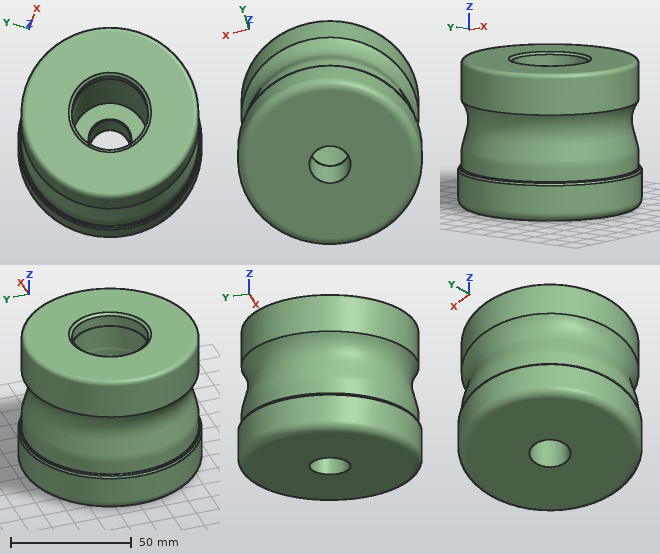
import cadquery as cq
import math

total_height = 62.0
base_height = 16.85

base_radius = 38.1
base_bottom_fillet = 3.8
rim_ledge_radius = 36.9
rim_break_radius = 37.5
rim_upper_height = 0.45
rim_lower_height = 0.9
hole_radius = 8.5
hole_chamfer = 0.45

sleeve_radius = 36.7
sleeve_top_fillet = 2.0
neck_top = 44.9
cone_top = 32.6
cone_top_radius = 34.45
cone_angle = 14.7
shoulder_blend_radius = 10.8
shoulder_blend_bottom = 22.6

bore_radius = 15.8
bore_chamfer_width = 1.3
bore_chamfer_depth = 1.0
relief_radius = 15.9
relief_top_depth = 6.0
relief_height = 10.5
relief_taper_height = 0.9


def revolve_profile(profile):
    """Revolve a closed radius/height profile about the Z axis."""
    return profile.close().revolve(360, (0, 0, 0), (0, 1, 0))


def make_base():
    rim_break_height = base_height - rim_upper_height
    base = revolve_profile(
        cq.Workplane("XZ")
        .moveTo(hole_radius, 0)
        .lineTo(base_radius, 0)
        .lineTo(base_radius, rim_break_height - rim_lower_height)
        .lineTo(rim_break_radius, rim_break_height)
        .lineTo(rim_ledge_radius, base_height)
        .lineTo(hole_radius + hole_chamfer, base_height)
        .lineTo(hole_radius, base_height - hole_chamfer)
    )
    outer_bottom_edge = cq.selectors.RadiusNthSelector(-1)
    return base.faces("<Z").edges(outer_bottom_edge).fillet(base_bottom_fillet)


def make_sleeve():
    tilt = math.radians(cone_angle)
    blend_height = shoulder_blend_radius * math.sin(tilt)
    blend_inset = shoulder_blend_radius * (1 - math.cos(tilt))
    blend_end = (sleeve_radius - blend_inset, shoulder_blend_bottom + blend_height)
    outer_fillet_start = (sleeve_radius, total_height - sleeve_top_fillet)
    outer_fillet_end = (sleeve_radius - sleeve_top_fillet, total_height)
    relief_top = total_height - relief_top_depth
    relief_bottom = relief_top - relief_height
    taper_bottom = relief_bottom - relief_taper_height
    return revolve_profile(
        cq.Workplane("XZ")
        .moveTo(bore_radius, base_height)
        .lineTo(sleeve_radius, base_height)
        .lineTo(sleeve_radius, shoulder_blend_bottom)
        .tangentArcPoint(blend_end, relative=False)
        .lineTo(cone_top_radius, cone_top)
        .tangentArcPoint((sleeve_radius, neck_top), relative=False)
        .lineTo(*outer_fillet_start)
        .tangentArcPoint(outer_fillet_end, relative=False)
        .lineTo(bore_radius + bore_chamfer_width, total_height)
        .lineTo(bore_radius, total_height - bore_chamfer_depth)
        .lineTo(bore_radius, relief_top)
        .lineTo(relief_radius, relief_top)
        .lineTo(relief_radius, relief_bottom)
        .lineTo(bore_radius, taper_bottom)
    )


base = make_base()
sleeve = make_sleeve()
result = cq.Compound.makeCompound([base.val(), sleeve.val()])